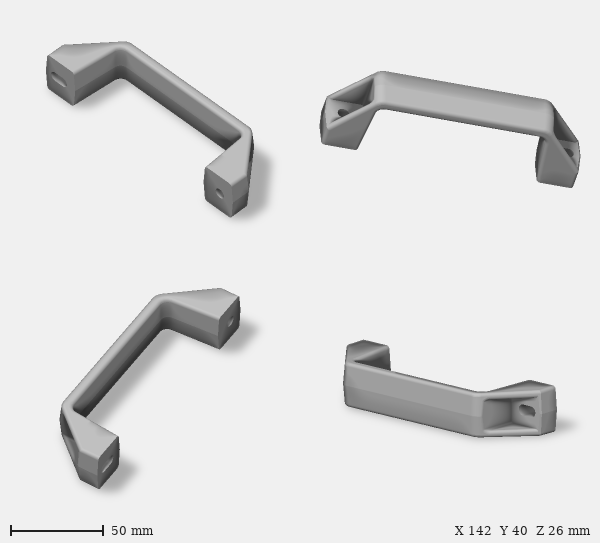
import cadquery as cq
import math

length = 142.0
depth = 40.0
base_height = 26.0

wall_draft = 5.0
height_draft = 1.0

foot_side = 12.2
slope_angle = 50.0
grip_thickness = 8.0
leg_inside = 48.7
leg_angle = 5.0
outer_corner_radius = 6.5
inner_corner_radius = 4.5
rim_radius = 2.0

pocket_floor = 13.0
pocket_wall = 50.0
pocket_width = 17.3
pocket_corner_radius = 1.1
pocket_rim_radius = 1.7

hole_diameter = 6.2
hole_spacing = 122.1
slot_length = 11.9

half_length = length / 2
half_height = base_height / 2
grip_inside = depth - grip_thickness
slope_top = half_length - (depth - foot_side) / math.tan(math.radians(slope_angle))
foot_overrun = 2.8
opening_end = leg_inside + foot_overrun * math.tan(math.radians(leg_angle))
leg_top = leg_inside - grip_inside * math.tan(math.radians(leg_angle))


def mirrored_outline(right_side):
    """Closed outline on the mid plane from the corners on its right side."""
    left_side = [(-x, y) for x, y in reversed(right_side)]
    return cq.Workplane("XY").polyline(right_side + left_side).close()


def outer_block():
    """Upper half of the handle without its opening, narrowing away from the mid plane."""
    return mirrored_outline([
        (half_length, -foot_overrun),
        (half_length, foot_side),
        (slope_top, depth),
    ]).extrude(half_height, taper=wall_draft)


def hand_opening():
    """Upper half of the opening, widening away from the mid plane."""
    widening = half_height * math.tan(math.radians(wall_draft))
    return (
        mirrored_outline([(opening_end, -foot_overrun), (leg_top, grip_inside)])
        .offset2D(widening, "intersection")
        .extrude(half_height, taper=wall_draft)
        .mirror("XY")
        .translate((0, 0, half_height))
    )


def height_envelope():
    """Wedge that trims the feet flat and thins the part from the mounting plane to the grip."""
    grip_half_height = half_height - depth * math.tan(math.radians(height_draft))
    return (
        cq.Workplane("YZ")
        .polyline([
            (0, -half_height),
            (depth, -grip_half_height),
            (depth, grip_half_height),
            (0, half_height),
        ])
        .close()
        .extrude(half_length, both=True)
    )


def corner_box(x, y):
    """Selects edges centred near an outline corner, at any height."""
    reach = 1.4
    return cq.selectors.BoxSelector(
        (x - reach, y - reach, -half_height),
        (x + reach, y + reach, half_height),
    )


def handle_body():
    """Drafted bow handle with rounded corners and rims."""
    upper = outer_block().cut(hand_opening())
    body = upper.union(upper.mirror("XY")).intersect(height_envelope())
    for side in (-1, 1):
        body = body.edges(corner_box(side * slope_top, depth)).fillet(outer_corner_radius)
        body = body.edges(corner_box(side * leg_top, grip_inside)).fillet(inner_corner_radius)
    return body.faces("<Z or >Z").edges("not <Y").fillet(rim_radius)


def screw_pocket(side):
    """Cutter with rounded upright edges that opens the slope above one foot."""
    pocket = (
        cq.Workplane("XY")
        .box(half_length, depth, pocket_width, centered=(False, False, True))
        .translate((pocket_wall, pocket_floor, 0))
        .edges("<X and |Y")
        .fillet(pocket_corner_radius)
    )
    return pocket if side > 0 else pocket.mirror("YZ")


def screw_hole(side):
    """Round hole in the right foot, slot along X in the left one, deep enough to open into the pocket."""
    foot = cq.Workplane("XZ").center(side * hole_spacing / 2, 0)
    if side > 0:
        profile = foot.circle(hole_diameter / 2)
    else:
        profile = foot.slot2D(slot_length, hole_diameter)
    return profile.extrude(-depth / 2)


def round_pocket_rim(body, side):
    """Round the side and top rims of one pocket."""
    reach = 4.3
    margin = 0.7

    def rim_box(x, y):
        """Selects edges centred within the pocket width and near one place in X and Y."""
        half_width = pocket_width / 2 + margin
        return cq.selectors.BoxSelector(
            (side * x - reach, y - reach, -half_width),
            (side * x + reach, y + reach, half_width),
        )

    side_rims = rim_box((pocket_wall + half_length) / 2, (pocket_floor + depth) / 2)
    top_rim = rim_box(pocket_wall + reach - margin, depth - reach)
    return body.edges(side_rims + top_rim).fillet(pocket_rim_radius)


result = handle_body()
for side in (-1, 1):
    result = result.cut(screw_pocket(side))
    result = round_pocket_rim(result, side)
    result = result.cut(screw_hole(side))